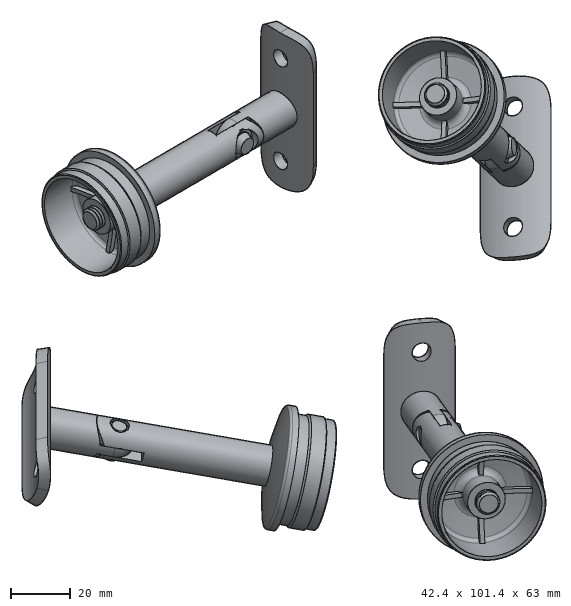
import cadquery as cq
import math

TOTAL_LENGTH = 101.4
CUT_MARGIN = 1.0

SADDLE_INNER_RADIUS = 21.2
SADDLE_THICKNESS = 4.1
SADDLE_OUTER_RADIUS = SADDLE_INNER_RADIUS + SADDLE_THICKNESS
SADDLE_HALF_ANGLE = 29.4
SADDLE_HEIGHT = 63.0
SADDLE_STRAIGHT_HEIGHT = 38.1
SADDLE_CORNER_FULLNESS = 0.74
SADDLE_HOLE_DIAMETER = 6.5
SADDLE_HOLE_SPACING = 42.0
SADDLE_AXIS_Y = TOTAL_LENGTH + SADDLE_INNER_RADIUS * math.cos(math.radians(SADDLE_HALF_ANGLE))

POST_RADIUS = 7.0
PIVOT_Y = 71.8
SLOT_WIDTH = 4.0
SLOT_BOTTOM_Y = 62.3
FORK_END_RADIUS = 7.9
SHOULDER_GAP = 0.1
SHOULDER_RADIUS = 10.5
SHOULDER_AXIS_Y = PIVOT_Y + FORK_END_RADIUS + SHOULDER_GAP - SHOULDER_RADIUS
TONGUE_BALL_Y = 72.2

SCREW_HOLE_DIAMETER = 6.5
SCREW_END_X = -6.2
SCREW_END_CHAMFER = 0.7
HEAD_RECESS_DIAMETER = 10.5
HEAD_SEAT_X = 4.1
HEAD_DIAMETER = 8.0
HEAD_TAPER_X = 4.6
HEAD_TOP_X = 7.2
HEAD_TOP_DIAMETER = 6.0

STUD_DIAMETER = 8.0
STUD_TIP_DIAMETER = 6.5
THREAD_PITCH = 1.2
THREAD_ROOT_DIAMETER = 6.8
STUD_TIP_Y = 4.1
STUD_TOP_Y = 30.4

FLANGE_DIAMETER = 42.4
FLANGE_BOTTOM_Y = 13.6
POST_SEAT_Y = 19.3
DOME_RADIUS = 73.0
DOME_EDGE_FILLET = 1.0
SKIRT_DIAMETER = 37.5
SKIRT_RIM_CHAMFER = 0.3
BAND_DIAMETER = 38.6
BAND_START_Y = 3.4
BAND_END_Y = 9.5
BAND_START_SLOPE_LENGTH = 0.3
BAND_END_SLOPE_LENGTH = 0.7
CUP_DIAMETER = 34.6
CUP_CORNER_FILLET = 1.6
DOME_WALL = 3.0
BOSS_DIAMETER = 13.0
BOSS_FACE_Y = 7.3
BOSS_FILLET = 2.2
RIB_COUNT = 4
RIB_OUTER_DIAMETER = (CUP_DIAMETER + SKIRT_DIAMETER) / 2
RIB_INNER_DIAMETER = (STUD_DIAMETER + BOSS_DIAMETER) / 2
RIB_WIDTH = 1.6
RIB_HEIGHT = 1.8
DOME_CENTER_Y = POST_SEAT_Y - math.sqrt(DOME_RADIUS**2 - POST_RADIUS**2)
FLOOR_DOME_RADIUS = DOME_RADIUS - DOME_WALL
RIB_DOME_RADIUS = FLOOR_DOME_RADIUS - RIB_HEIGHT


def rod_along_y(diameter, y_start, y_end):
    rod = cq.Solid.makeCylinder(diameter / 2, y_end - y_start, cq.Vector(0, y_start, 0), cq.Vector(0, 1, 0))
    return cq.Workplane(obj=rod)


def rod_along_x(diameter, x_start, x_end, y=PIVOT_Y):
    rod = cq.Solid.makeCylinder(diameter / 2, x_end - x_start, cq.Vector(x_start, y, 0), cq.Vector(1, 0, 0))
    return cq.Workplane(obj=rod)


def ball(radius, y):
    return cq.Workplane("XY").sphere(radius).translate((0, y, 0))


def slab(width, y_start, y_end):
    """Block centred on X and Z, wider than the posts in Z."""
    block = cq.Workplane("XY").box(width, y_end - y_start, 4 * POST_RADIUS)
    return block.translate((0, (y_start + y_end) / 2, 0))


def saddle_outline_at(y):
    """Rounded outline of the plate on the plane at y; its width grows away from the bend axis."""
    half_width = (SADDLE_AXIS_Y - y) * math.tan(math.radians(SADDLE_HALF_ANGLE))
    half_height = SADDLE_HEIGHT / 2
    side_z = SADDLE_STRAIGHT_HEIGHT / 2
    arm_z = side_z + SADDLE_CORNER_FULLNESS * (half_height - side_z)
    arm_x = SADDLE_CORNER_FULLNESS * half_width

    def point(x, z):
        return cq.Vector(x, y, z)

    def corner(side, end):
        points = [(half_width, side_z), (half_width, arm_z), (arm_x, half_height), (0, half_height)]
        return cq.Edge.makeBezier([point(side * x, end * z) for x, z in points])

    sides = [cq.Edge.makeLine(point(s * half_width, -side_z), point(s * half_width, side_z)) for s in (-1, 1)]
    corners = [corner(side, end) for side in (-1, 1) for end in (-1, 1)]
    return cq.Wire.assembleEdges([sides[1], corners[3], corners[1], sides[0], corners[0], corners[2]])


def make_saddle():
    bend = cq.Workplane("XY", origin=(0, SADDLE_AXIS_Y, -SADDLE_HEIGHT / 2))
    bent_sheet = bend.circle(SADDLE_OUTER_RADIUS).circle(SADDLE_INNER_RADIUS).extrude(SADDLE_HEIGHT)
    outer_y = SADDLE_AXIS_Y - SADDLE_OUTER_RADIUS - CUT_MARGIN
    inner_y = TOTAL_LENGTH + CUT_MARGIN
    outline = cq.Solid.makeLoft([saddle_outline_at(outer_y), saddle_outline_at(inner_y)], True)
    saddle = bent_sheet.intersect(cq.Workplane(obj=outline))
    for z in (-SADDLE_HOLE_SPACING / 2, SADDLE_HOLE_SPACING / 2):
        saddle = saddle.cut(rod_along_y(SADDLE_HOLE_DIAMETER, outer_y, inner_y).translate((0, 0, z)))
    return saddle


def make_swivel_post():
    post = rod_along_y(2 * POST_RADIUS, TONGUE_BALL_Y, TOTAL_LENGTH)
    post = post.union(ball(POST_RADIUS, TONGUE_BALL_Y))
    saddle_bend = cq.Workplane("XY").circle(SADDLE_OUTER_RADIUS).extrude(2 * POST_RADIUS, both=True)
    post = post.cut(saddle_bend.translate((0, SADDLE_AXIS_Y, 0)))
    shoulder = rod_along_x(2 * SHOULDER_RADIUS, -2 * POST_RADIUS, 2 * POST_RADIUS, SHOULDER_AXIS_Y)
    shoulder = shoulder.cut(slab(SLOT_WIDTH, 0, TOTAL_LENGTH))
    post = post.cut(shoulder)
    return post.cut(rod_along_x(SCREW_HOLE_DIAMETER, -POST_RADIUS, POST_RADIUS))


def make_fork_post():
    fork = rod_along_y(2 * POST_RADIUS, POST_SEAT_Y, PIVOT_Y)
    round_end = rod_along_x(2 * FORK_END_RADIUS, -POST_RADIUS, POST_RADIUS)
    fork_end = rod_along_y(2 * POST_RADIUS, PIVOT_Y, TOTAL_LENGTH).intersect(round_end)
    fork = fork.union(fork_end)
    fork = fork.cut(slab(SLOT_WIDTH, SLOT_BOTTOM_Y, TOTAL_LENGTH))
    fork = fork.cut(rod_along_x(SCREW_HOLE_DIAMETER, -2 * POST_RADIUS, 2 * POST_RADIUS))
    fork = fork.cut(rod_along_x(HEAD_RECESS_DIAMETER, HEAD_SEAT_X, 2 * POST_RADIUS))
    return fork.cut(rod_along_y(STUD_DIAMETER, POST_SEAT_Y, STUD_TOP_Y))


def make_pivot_screw():
    shank_radius = SCREW_HOLE_DIAMETER / 2
    half_profile = [
        (SCREW_END_X, 0),
        (SCREW_END_X, shank_radius - SCREW_END_CHAMFER),
        (SCREW_END_X + SCREW_END_CHAMFER, shank_radius),
        (HEAD_SEAT_X, shank_radius),
        (HEAD_SEAT_X, HEAD_DIAMETER / 2),
        (HEAD_TAPER_X, HEAD_DIAMETER / 2),
        (HEAD_TOP_X, HEAD_TOP_DIAMETER / 2),
        (HEAD_TOP_X, 0),
    ]
    profile = cq.Workplane("XY").polyline(half_profile).close()
    return profile.revolve(360, (0, 0, 0), (1, 0, 0)).translate((0, PIVOT_Y, 0))


def dome_ring(outer_diameter, inner_diameter, y_start, dome_radius):
    """Ring that starts flat at y_start and ends in a dome; all domes of the cap share one centre."""
    outer = outer_diameter / 2
    inner = inner_diameter / 2
    middle = (outer + inner) / 2

    def dome_point(r):
        return (r, DOME_CENTER_Y + math.sqrt(dome_radius**2 - r**2))

    half_profile = cq.Workplane("XY").moveTo(inner, y_start).lineTo(outer, y_start).lineTo(*dome_point(outer))
    half_profile = half_profile.threePointArc(dome_point(middle), dome_point(inner)).close()
    return half_profile.revolve(360, (0, 0, 0), (0, 1, 0))


def fillet_inner_dome_edge(ring, radius):
    return ring.edges(cq.selectors.RadiusNthSelector(0)).edges(">Y").fillet(radius)


def fillet_outer_dome_edge(ring, radius):
    return ring.edges(cq.selectors.RadiusNthSelector(1)).edges(">Y").fillet(radius)


def make_band():
    """Raised band around the skirt, with a slope from the skirt at each end."""
    half_profile = [
        (0, BAND_START_Y),
        (SKIRT_DIAMETER / 2, BAND_START_Y),
        (BAND_DIAMETER / 2, BAND_START_Y + BAND_START_SLOPE_LENGTH),
        (BAND_DIAMETER / 2, BAND_END_Y - BAND_END_SLOPE_LENGTH),
        (SKIRT_DIAMETER / 2, BAND_END_Y),
        (0, BAND_END_Y),
    ]
    return cq.Workplane("XY").polyline(half_profile).close().revolve(360, (0, 0, 0), (0, 1, 0))


def make_cap_shell():
    flange = dome_ring(FLANGE_DIAMETER, STUD_DIAMETER, FLANGE_BOTTOM_Y, DOME_RADIUS)
    flange = fillet_outer_dome_edge(flange, DOME_EDGE_FILLET)
    flange = flange.intersect(rod_along_y(FLANGE_DIAMETER + CUT_MARGIN, FLANGE_BOTTOM_Y, POST_SEAT_Y))
    skirt = rod_along_y(SKIRT_DIAMETER, 0, FLANGE_BOTTOM_Y).faces("<Y").chamfer(SKIRT_RIM_CHAMFER)
    return flange.union(skirt).union(make_band())


def make_cup():
    """The hollow of the cap: rounded at its corner and around the boss."""
    cup = dome_ring(CUP_DIAMETER, BOSS_DIAMETER, 0, FLOOR_DOME_RADIUS)
    cup = fillet_outer_dome_edge(cup, CUP_CORNER_FILLET)
    cup = fillet_inner_dome_edge(cup, BOSS_FILLET)
    return cup.union(rod_along_y(BOSS_DIAMETER, 0, BOSS_FACE_Y))


def make_ribs():
    """Ribs across the cup, with faces that follow the dome."""
    rib_layer = rod_along_y(RIB_OUTER_DIAMETER, BOSS_FACE_Y, POST_SEAT_Y)
    rib_layer = rib_layer.cut(rod_along_y(RIB_INNER_DIAMETER, BOSS_FACE_Y, POST_SEAT_Y))
    rib_layer = rib_layer.cut(ball(RIB_DOME_RADIUS, DOME_CENTER_Y))
    rib_layer = rib_layer.intersect(ball(FLOOR_DOME_RADIUS + DOME_WALL / 2, DOME_CENTER_Y))
    cross = cq.Workplane("XY")
    for index in range(RIB_COUNT // 2):
        bar = cq.Workplane("XY").box(RIB_OUTER_DIAMETER, 2 * POST_SEAT_Y, RIB_WIDTH)
        cross = cross.union(bar.rotate((0, 0, 0), (0, 1, 0), index * 360 / RIB_COUNT))
    return rib_layer.intersect(cross)


def make_cap():
    cap = make_cap_shell().cut(make_cup())
    cap = cap.cut(rod_along_y(STUD_DIAMETER, 0, POST_SEAT_Y))
    return cap.union(make_ribs())


def thread_groove(y_start):
    """V-shaped ring, one pitch wide, that cuts the stud down to the thread root."""
    half_profile = [
        (STUD_DIAMETER / 2, y_start),
        (THREAD_ROOT_DIAMETER / 2, y_start + THREAD_PITCH / 2),
        (STUD_DIAMETER / 2, y_start + THREAD_PITCH),
    ]
    return cq.Workplane("XY").polyline(half_profile).close().revolve(360, (0, 0, 0), (0, 1, 0))


def make_stud():
    stud = rod_along_y(STUD_DIAMETER, STUD_TIP_Y, STUD_TOP_Y)
    tip_chamfer = (STUD_DIAMETER - STUD_TIP_DIAMETER) / 2
    stud = stud.faces("<Y").chamfer(tip_chamfer)
    exposed_start_y = STUD_TIP_Y + tip_chamfer
    groove_count = math.floor((BOSS_FACE_Y - exposed_start_y) / THREAD_PITCH)
    for index in range(groove_count):
        stud = stud.cut(thread_groove(exposed_start_y + index * THREAD_PITCH))
    return stud


saddle = make_saddle()
swivel_post = make_swivel_post()
fork_post = make_fork_post()
pivot_screw = make_pivot_screw()
cap = make_cap()
stud = make_stud()

result = cq.Compound.makeCompound([
    saddle.solids().val(),
    swivel_post.solids().val(),
    fork_post.solids().val(),
    pivot_screw.solids().val(),
    cap.solids().val(),
    stud.solids().val(),
])